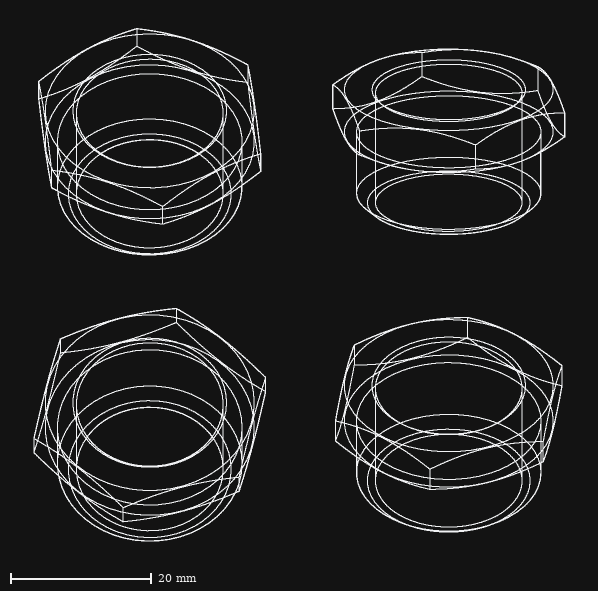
import cadquery as cq
import math

hex_across_corners = 34.65
total_height = 17.5
head_height = 6.5
head_face_diameter = 29.8
head_chamfer_angle = 30.0
stem_diameter = 26.33
stem_chamfer_radial = 1.55
stem_chamfer_height = 1.45
bore_diameter = 20.92
bore_chamfer = 0.5

corner_radius = hex_across_corners / 2
face_radius = head_face_diameter / 2
stem_radius = stem_diameter / 2
bore_radius = bore_diameter / 2
head_bottom = total_height - head_height
corner_drop = (corner_radius - face_radius) * math.tan(math.radians(head_chamfer_angle))


def revolve_profile(points):
    """Revolve an outline of (radius, height) points about the Z axis."""
    return cq.Workplane("XZ").polyline(points).close().revolve(360, (0, 0), (0, 1))


def make_head():
    """Hexagonal head with its corners turned down on both faces."""
    hexagon = (
        cq.Workplane("XY")
        .workplane(offset=head_bottom)
        .polygon(6, hex_across_corners)
        .extrude(head_height)
    )
    turned_envelope = revolve_profile([
        (0, head_bottom),
        (face_radius, head_bottom),
        (corner_radius, head_bottom + corner_drop),
        (corner_radius, total_height - corner_drop),
        (face_radius, total_height),
        (0, total_height),
    ])
    return hexagon.intersect(turned_envelope)


def make_stem():
    """Round stem below the head with a tapered lower end."""
    return revolve_profile([
        (0, 0),
        (stem_radius - stem_chamfer_radial, 0),
        (stem_radius, stem_chamfer_height),
        (stem_radius, head_bottom),
        (0, head_bottom),
    ])


def make_bore():
    """Through bore with a chamfered upper mouth."""
    return revolve_profile([
        (0, 0),
        (bore_radius, 0),
        (bore_radius, total_height - bore_chamfer),
        (bore_radius + bore_chamfer, total_height),
        (0, total_height),
    ])


result = make_head().union(make_stem()).cut(make_bore())